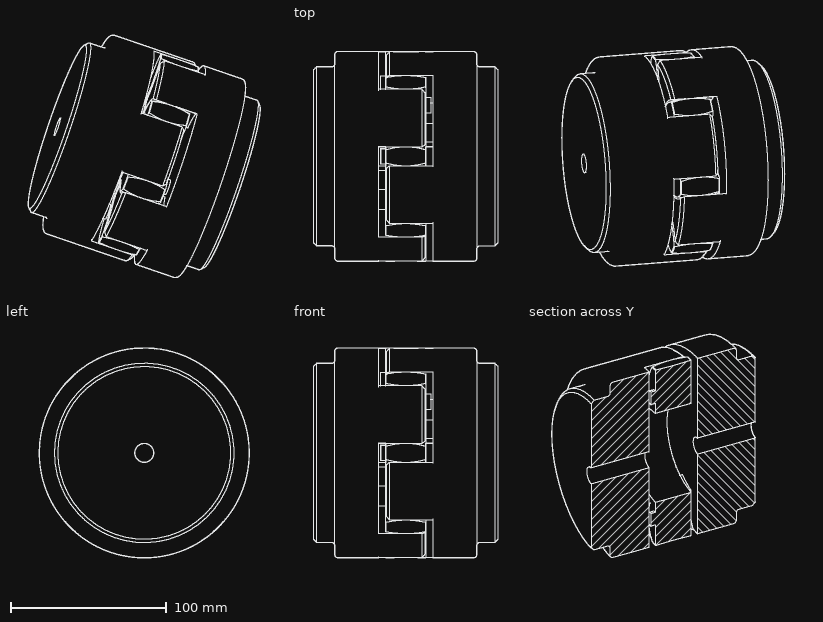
import cadquery as cq
import math


overall_length = 118.5
outer_radius = 67.5
bore_diameter = 12.0

boss_radius = 57.6
boss_length = 13.6
boss_chamfer = 2.2
boss_root_fillet = 1.8
flange_fillet = 2.3
hub_face_gap = 34.9
claws_per_hub = 4
claw_inner_radius = 40.2
claw_tip_x = 12.4
claw_chamfer = 2.0
cutting_margin = 1.3

flank_radius = 30.0
flank_centre_radius = 50.3
slot_half_width = 11.3

spider_width = 25.9
spider_bore_radius = 34.0
arm_crown = 1.5
arm_end_chamfer = 0.4
stud_circle_radius = 46.5
stud_radius = 5.0
stud_height = 3.2

bore_radius = bore_diameter / 2
arm_count = 2 * claws_per_hub
slot_pitch = 360 / arm_count
claw_pitch = 360 / claws_per_hub
hub_face_x = -hub_face_gap / 2
flange_x = boss_length - overall_length / 2
claw_length = claw_tip_x - hub_face_x
flank_centre_offset = flank_radius - slot_half_width
waste_radius = outer_radius + cutting_margin
envelope_radius = waste_radius + cutting_margin


def polar(radius, angle):
    """Point in the YZ plane, with the angle in degrees from +Y toward +Z."""
    return radius * math.cos(math.radians(angle)), radius * math.sin(math.radians(angle))


def cylinder(radius, start_x, length):
    return cq.Workplane("YZ").workplane(offset=start_x).circle(radius).extrude(length)


def flank_cylinder(side):
    """Cylinder whose surface carries the flank on one side (+1 or -1) of the slot along +Y."""
    return cylinder(flank_radius, hub_face_x, claw_length).translate(
        (0, flank_centre_radius, -side * flank_centre_offset)
    )


def make_claw_envelope():
    """Claw between the slots at 0 and one slot pitch, before its outside is turned."""
    blank = (
        cq.Workplane("YZ")
        .workplane(offset=hub_face_x)
        .moveTo(claw_inner_radius, 0)
        .lineTo(envelope_radius, 0)
        .threePointArc(polar(envelope_radius, slot_pitch / 2), polar(envelope_radius, slot_pitch))
        .lineTo(*polar(claw_inner_radius, slot_pitch))
        .threePointArc(polar(claw_inner_radius, slot_pitch / 2), (claw_inner_radius, 0))
        .close()
        .extrude(claw_length)
    )
    next_slot_flank = flank_cylinder(-1).rotate((0, 0, 0), (1, 0, 0), slot_pitch)
    return blank.cut(flank_cylinder(1)).cut(next_slot_flank)


def make_hub_blank():
    """Turned and bored blank of the negative-X hub, reaching to the claw tips."""
    boss_end_x = -overall_length / 2
    profile = (
        cq.Workplane("XY")
        .moveTo(boss_end_x, bore_radius)
        .lineTo(boss_end_x, boss_radius - boss_chamfer)
        .lineTo(boss_end_x + boss_chamfer, boss_radius)
        .lineTo(flange_x - boss_root_fillet, boss_radius)
        .radiusArc((flange_x, boss_radius + boss_root_fillet), -boss_root_fillet)
        .lineTo(flange_x, outer_radius - flange_fillet)
        .radiusArc((flange_x + flange_fillet, outer_radius), flange_fillet)
        .lineTo(claw_tip_x - claw_chamfer, outer_radius)
        .lineTo(claw_tip_x, outer_radius - claw_chamfer)
        .lineTo(claw_tip_x, bore_radius)
        .close()
    )
    return profile.revolve(360, (0, 0, 0), (1, 0, 0))


def make_hub():
    """Negative-X hub: everything beyond its inner face is cut away except the claws."""
    claw = make_claw_envelope()
    waste = cylinder(waste_radius, hub_face_x, claw_length)
    for index in range(claws_per_hub):
        waste = waste.cut(claw.rotate((0, 0, 0), (1, 0, 0), slot_pitch + index * claw_pitch))
    return make_hub_blank().cut(waste)


def flank_barrel(side):
    """Crowned barrel whose surface carries one flank of the arm along +Y."""
    half = spider_width / 2
    end_radius = flank_radius - arm_crown
    return (
        cq.Workplane("XY")
        .moveTo(-half, 0)
        .lineTo(-half, end_radius)
        .threePointArc((0, flank_radius), (half, end_radius))
        .lineTo(half, 0)
        .close()
        .revolve(360, (0, 0, 0), (1, 0, 0))
        .translate((0, flank_centre_radius, -side * flank_centre_offset))
    )


def make_stud(angle, side):
    """Round spacer stud on one end face of the spider; side is -1 or +1 along X."""
    y, z = polar(stud_circle_radius, angle)
    return (
        cq.Workplane("YZ")
        .workplane(offset=side * spider_width / 2)
        .center(y, z)
        .circle(stud_radius)
        .extrude(side * stud_height)
    )


def make_spider():
    spider = cylinder(claw_inner_radius, -spider_width / 2, spider_width)
    envelope = cylinder(outer_radius, -spider_width / 2, spider_width)
    envelope = envelope.edges().chamfer(arm_end_chamfer)
    arm = flank_barrel(1).intersect(flank_barrel(-1)).intersect(envelope)
    for index in range(arm_count):
        angle = index * slot_pitch
        stud_side = -1 if index % 2 == 0 else 1
        spider = spider.union(arm.rotate((0, 0, 0), (1, 0, 0), angle))
        spider = spider.union(make_stud(angle, stud_side))
    return spider.cut(cylinder(spider_bore_radius, -spider_width / 2, spider_width))


left_hub = make_hub()
right_hub = left_hub.mirror("YZ").rotate((0, 0, 0), (1, 0, 0), slot_pitch)
spider = make_spider()

result = cq.Compound.makeCompound(
    [left_hub.solids().val(), right_hub.solids().val(), spider.solids().val()]
)